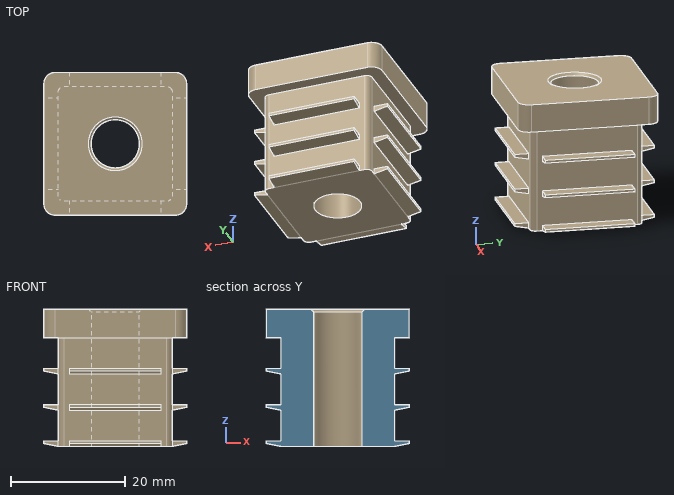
import cadquery as cq

cap_side = 25.0
cap_height = 5.0
cap_corner_radius = 2.0

stem_side = 20.0
stem_height = 19.0
stem_corner_radius = 1.0
total_height = stem_height + cap_height

hole_diameter = 8.38
hole_radius = hole_diameter / 2
hole_chamfer = 0.5

fin_length = 16.0
fin_root_thickness = 1.0
fin_tip_thickness = 0.5
fins_per_side = 3
fin_pitch = stem_height / fins_per_side
fin_reach = cap_side / 2
fin_root = stem_side / 2


def rounded_block(side, height, corner_radius, base_z):
    """Square block centred on the Z axis, with rounded vertical edges."""
    return (
        cq.Workplane("XY")
        .workplane(offset=base_z)
        .rect(side, side)
        .extrude(height)
        .edges("|Z")
        .fillet(corner_radius)
    )


def fin(base_z):
    """One fin on the +X face, with the underside of its root at base_z."""
    top_z = base_z + fin_root_thickness
    profile = [
        (fin_root, base_z),
        (fin_root, top_z),
        (fin_reach, top_z),
        (fin_reach, top_z - fin_tip_thickness),
    ]
    return cq.Workplane("XZ").polyline(profile).close().extrude(fin_length / 2, both=True)


def add_fins(body):
    """Stack the fins on all four sides of the stem."""
    for level in range(fins_per_side):
        level_fin = fin(level * fin_pitch)
        for angle in (0, 90, 180, 270):
            body = body.union(level_fin.rotate((0, 0, 0), (0, 0, 1), angle))
    return body


def cut_hole(body):
    """Bore the hole through the whole height and chamfer its upper edge."""
    bore = cq.Workplane("XY").circle(hole_radius).extrude(total_height)
    chamfer_base_z = total_height - hole_chamfer
    mouth = cq.Workplane(
        cq.Solid.makeCone(
            hole_radius,
            hole_radius + hole_chamfer,
            hole_chamfer,
            pnt=cq.Vector(0, 0, chamfer_base_z),
        )
    )
    return body.cut(bore).cut(mouth)


stem = rounded_block(stem_side, stem_height, stem_corner_radius, 0)
cap = rounded_block(cap_side, cap_height, cap_corner_radius, stem_height)
result = cut_hole(add_fins(stem.union(cap)))